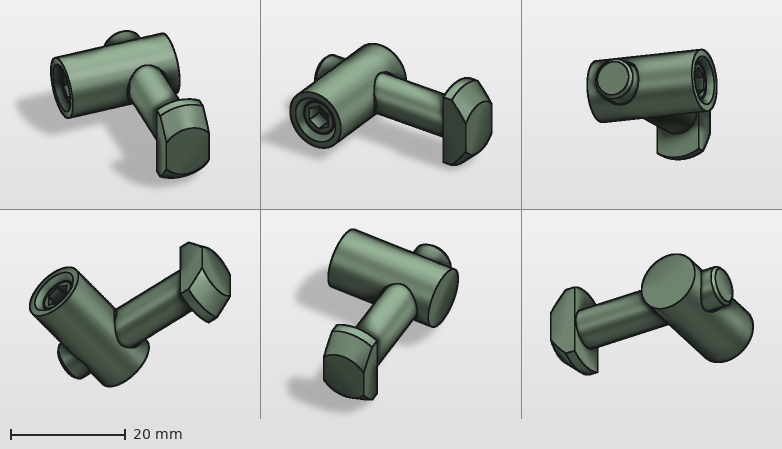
import cadquery as cq
import math

TOTAL_LENGTH = 32.8

ROD_DIA = 7.1
ROD_CHAMFER = 0.55
HEAD_LENGTH = 4.82
HEAD_RIM = 1.8
HEAD_DIA = 15.48
HEAD_FACE_DIA = 9.77
HEAD_WIDTH = 8.0
HEAD_START = TOTAL_LENGTH - HEAD_LENGTH

DIMPLE_X = 8.7
DIMPLE_RADIUS = 4.8
DIMPLE_SLOPE = 35.0

HOUSING_X = 7.77
HOUSING_DIA = 10.82
HOUSING_LENGTH = 20.0
ROD_TO_BACK = 6.0
CROSS_HOLE_DIA = 7.68
BORE_DIA = 6.4
MOUTH_DIA = 8.45
HOUSING_FRONT = ROD_TO_BACK - HOUSING_LENGTH

SCREW_RECESS = (MOUTH_DIA - BORE_DIA) / 2
SCREW_CHAMFER = 0.2
SCREW_TIP_Y = -2.3
HEX_ACROSS_FLATS = 4.05
HEX_DEPTH = 3.02
SCREW_START = HOUSING_FRONT + SCREW_RECESS
SCREW_RADIUS = BORE_DIA / 2


def plane_facing_back(x, y):
    """Plane at (x, y, 0) with its normal along +Y and its local Y axis along +Z."""
    return cq.Plane(origin=(x, y, 0), xDir=(-1, 0, 0), normal=(0, 1, 0))


def revolve_about_y(points, x):
    """Solid of revolution about the line parallel to Y at x, from (radius, y) points."""
    profile = cq.Workplane("XY", origin=(x, 0, 0)).polyline(points).close()
    return profile.revolve(360, (0, 0, 0), (0, 1, 0))


def make_t_head():
    head_profile = [
        (HEAD_START, 0),
        (HEAD_START, HEAD_DIA / 2),
        (HEAD_START + HEAD_RIM, HEAD_DIA / 2),
        (TOTAL_LENGTH, HEAD_FACE_DIA / 2),
        (TOTAL_LENGTH, 0),
    ]
    round_head = cq.Workplane("XY").polyline(head_profile).close().revolve(360, (0, 0, 0), (1, 0, 0))
    flats = cq.Workplane("XY").box(2 * TOTAL_LENGTH, HEAD_WIDTH, HEAD_DIA)
    return round_head.intersect(flats)


def make_rod():
    shank = cq.Workplane("YZ").circle(ROD_DIA / 2).extrude(HEAD_START)
    shank = shank.faces("<X").chamfer(ROD_CHAMFER)
    rod_side = -ROD_DIA / 2
    dimple_depth = DIMPLE_RADIUS * math.tan(math.radians(DIMPLE_SLOPE))
    dimple = revolve_about_y(
        [(0, rod_side), (DIMPLE_RADIUS, rod_side), (0, rod_side + dimple_depth)], DIMPLE_X
    )
    return shank.cut(dimple).union(make_t_head())


def make_housing():
    body = cq.Workplane(plane_facing_back(HOUSING_X, HOUSING_FRONT))
    body = body.circle(HOUSING_DIA / 2).extrude(HOUSING_LENGTH)
    cross_hole = cq.Workplane("YZ").circle(CROSS_HOLE_DIA / 2).extrude(2 * HOUSING_X)
    screw_bore = revolve_about_y(
        [
            (0, HOUSING_FRONT),
            (MOUTH_DIA / 2, HOUSING_FRONT),
            (BORE_DIA / 2, SCREW_START),
            (BORE_DIA / 2, 0),
            (0, 0),
        ],
        HOUSING_X,
    )
    return body.cut(cross_hole).cut(screw_bore)


def make_set_screw():
    screw = revolve_about_y(
        [
            (0, SCREW_START),
            (SCREW_RADIUS - SCREW_CHAMFER, SCREW_START),
            (SCREW_RADIUS, SCREW_START + SCREW_CHAMFER),
            (SCREW_RADIUS, SCREW_TIP_Y - SCREW_RADIUS),
            (0, SCREW_TIP_Y),
        ],
        HOUSING_X,
    )
    hex_across_corners = HEX_ACROSS_FLATS / math.cos(math.pi / 6)
    socket = cq.Workplane(plane_facing_back(HOUSING_X, SCREW_START))
    socket = socket.transformed(rotate=(0, 0, 90)).polygon(6, hex_across_corners).extrude(HEX_DEPTH)
    return screw.cut(socket)


rod = make_rod()
housing = make_housing()
set_screw = make_set_screw()
result = cq.Compound.makeCompound([rod.val(), housing.val(), set_screw.val()])